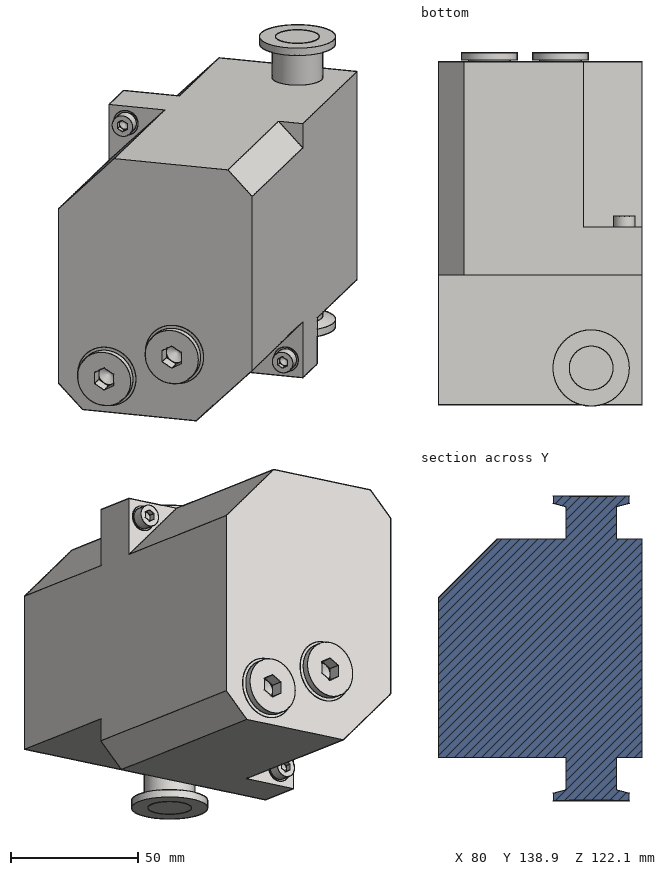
import cadquery as cq

BODY_WIDTH = 80.0
BODY_HEIGHT = 105.1
REAR_LENGTH = 51.0
COLLAR_LENGTH = 18.9
FRONT_LENGTH = 65.0
BODY_LENGTH = FRONT_LENGTH + COLLAR_LENGTH + REAR_LENGTH
COLLAR_REAR_Y = FRONT_LENGTH + COLLAR_LENGTH

LARGE_BEVEL = 23.1
SMALL_BEVEL = 10.0
REAR_STEP_HEIGHT = 19.0

PORT_X = 60.0
PORT_FROM_REAR = 14.5
PORT_LENGTH = 17.0
STEM_DIAMETER = 20.0
FLANGE_DIAMETER = 30.0
FLANGE_RIM = 3.0
FLANGE_TAPER = 1.32
SEAT_DIAMETER = 17.2
SEAT_DEPTH = 0.1

PLUG_CENTRES = [(20.0, 14.7), (48.0, 26.5)]
PLUG_HEAD_DIAMETER = 22.0
PLUG_HEAD_HEIGHT = 3.5
PLUG_HEAD_GAP = 0.5
PLUG_NECK_DIAMETER = 16.5
PLUG_RECESS_DIAMETER = 24.0
PLUG_RECESS_DEPTH = 0.1
PLUG_HEX_FLATS = 7.9
PLUG_HEX_DEPTH = 5.5

SCREW_INSET = 7.0
SCREW_CENTRES = [
    (SCREW_INSET, BODY_HEIGHT - SCREW_INSET),
    (BODY_WIDTH - SCREW_INSET, SCREW_INSET),
]
SCREW_HEAD_DIAMETER = 8.5
SCREW_HEAD_HEIGHT = 4.3
SCREW_RECESS_DIAMETER = 10.0
SCREW_RECESS_DEPTH = 0.4
SCREW_HEX_FLATS = 4.0
SCREW_HEX_DEPTH = 2.5

HEX_CORNER_RATIO = 2 / 3**0.5
DRILL_POINT_RATIO = 0.3


def corner_prism(x, z, x_leg, z_leg, y_start, y_end):
    """Triangular prism along Y that fills one corner of the block."""
    return (
        cq.Workplane("XZ", origin=(0, y_start, 0))
        .moveTo(x, z)
        .lineTo(x + x_leg, z)
        .lineTo(x, z + z_leg)
        .close()
        .extrude(y_start - y_end)
    )


def front_cylinder(centre, diameter, y_start, y_end):
    """Round bar parallel to Y between two Y positions."""
    x, z = centre
    return (
        cq.Workplane("XZ", origin=(x, y_start, z))
        .circle(diameter / 2)
        .extrude(y_start - y_end)
    )


def hex_socket(centre, flats, y_front, depth):
    """Hexagonal socket running in +Y and ending in a conical drill point."""
    x, z = centre
    corners = flats * HEX_CORNER_RATIO
    hexagon = (
        cq.Workplane("XZ", origin=(x, y_front, z))
        .transformed(rotate=(0, 0, 90))
        .polygon(6, corners)
        .extrude(-depth)
    )
    point = cq.Solid.makeCone(
        flats / 2,
        0,
        flats * DRILL_POINT_RATIO,
        pnt=cq.Vector(x, y_front + depth, z),
        dir=cq.Vector(0, 1, 0),
    )
    return hexagon.union(cq.Workplane(obj=point))


def make_body():
    body = cq.Workplane("XY").box(BODY_WIDTH, BODY_LENGTH, BODY_HEIGHT, centered=False)

    step = (
        cq.Workplane("XY", origin=(0, COLLAR_REAR_Y, 0))
        .box(BODY_WIDTH, REAR_LENGTH, REAR_STEP_HEIGHT, centered=False)
    )
    body = body.cut(step)

    for y_start, y_end in [(0, FRONT_LENGTH), (COLLAR_REAR_Y, BODY_LENGTH)]:
        body = body.cut(corner_prism(0, BODY_HEIGHT, LARGE_BEVEL, -LARGE_BEVEL, y_start, y_end))

    body = body.cut(corner_prism(BODY_WIDTH, 0, -LARGE_BEVEL, LARGE_BEVEL, 0, FRONT_LENGTH))

    body = body.cut(
        corner_prism(BODY_WIDTH, BODY_HEIGHT, -SMALL_BEVEL, -SMALL_BEVEL, 0, FRONT_LENGTH)
    )

    return body.cut(corner_prism(0, 0, SMALL_BEVEL, SMALL_BEVEL, 0, COLLAR_REAR_Y))


def make_port():
    """Flanged port standing on Z = 0, with a shallow round seat in its end face."""
    rim_bottom = PORT_LENGTH - FLANGE_RIM
    taper_bottom = rim_bottom - FLANGE_TAPER
    seat_floor = PORT_LENGTH - SEAT_DEPTH
    profile = [
        (0, 0),
        (STEM_DIAMETER / 2, 0),
        (STEM_DIAMETER / 2, taper_bottom),
        (FLANGE_DIAMETER / 2, rim_bottom),
        (FLANGE_DIAMETER / 2, PORT_LENGTH),
        (SEAT_DIAMETER / 2, PORT_LENGTH),
        (SEAT_DIAMETER / 2, seat_floor),
        (0, seat_floor),
    ]
    return cq.Workplane("XZ").polyline(profile).close().revolve(360, (0, 0, 0), (0, 1, 0))


def add_ports(part):
    port_y = BODY_LENGTH - PORT_FROM_REAR
    upper = make_port().translate((PORT_X, port_y, BODY_HEIGHT))
    lower = make_port().mirror("XY").translate((PORT_X, port_y, REAR_STEP_HEIGHT))
    return part.union(upper).union(lower)


def add_plug(part, centre):
    """Socketed plug whose head stands just clear of the front face on a narrower neck."""
    part = part.cut(front_cylinder(centre, PLUG_RECESS_DIAMETER, 0, PLUG_RECESS_DEPTH))
    part = part.union(front_cylinder(centre, PLUG_NECK_DIAMETER, -PLUG_HEAD_HEIGHT, PLUG_RECESS_DEPTH))
    part = part.union(front_cylinder(centre, PLUG_HEAD_DIAMETER, -PLUG_HEAD_HEIGHT, -PLUG_HEAD_GAP))
    return part.cut(hex_socket(centre, PLUG_HEX_FLATS, -PLUG_HEAD_HEIGHT, PLUG_HEX_DEPTH))


def add_screw(part, centre):
    """Socket cap screw seated in a shallow recess on the front of the collar."""
    head_front = FRONT_LENGTH - SCREW_HEAD_HEIGHT
    recess_floor = FRONT_LENGTH + SCREW_RECESS_DEPTH
    part = part.cut(front_cylinder(centre, SCREW_RECESS_DIAMETER, FRONT_LENGTH, recess_floor))
    part = part.union(front_cylinder(centre, SCREW_HEAD_DIAMETER, head_front, recess_floor))
    return part.cut(hex_socket(centre, SCREW_HEX_FLATS, head_front, SCREW_HEX_DEPTH))


result = add_ports(make_body())

for plug_centre in PLUG_CENTRES:
    result = add_plug(result, plug_centre)

for screw_centre in SCREW_CENTRES:
    result = add_screw(result, screw_centre)